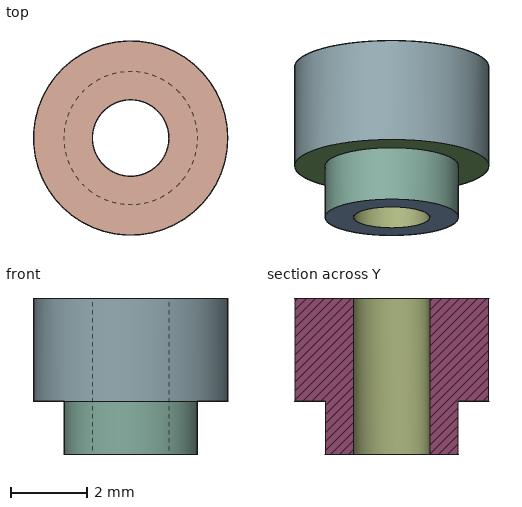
import cadquery as cq

head_diameter = 5.1
spigot_diameter = 3.5
bore_diameter = 2.0
total_height = 4.1
spigot_height = 1.4
head_height = total_height - spigot_height


def make_spigot():
    """Narrow lower cylinder, standing on the XY plane."""
    return cq.Workplane("XY").circle(spigot_diameter / 2).extrude(spigot_height)


def make_head():
    """Wide upper cylinder, resting on top of the spigot."""
    return (
        cq.Workplane("XY")
        .workplane(offset=spigot_height)
        .circle(head_diameter / 2)
        .extrude(head_height)
    )


def make_bore():
    """Plain through bore along the shared axis."""
    return cq.Workplane("XY").circle(bore_diameter / 2).extrude(total_height)


result = make_spigot().union(make_head()).cut(make_bore())